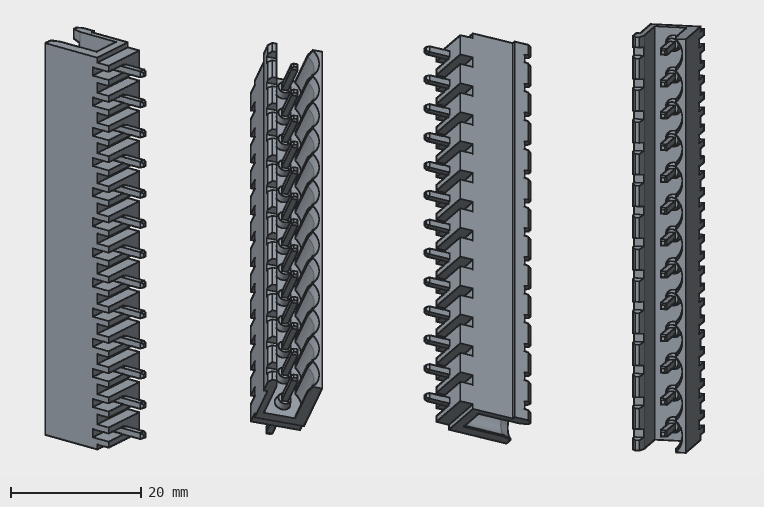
import cadquery as cq
import math

PIN_COUNT = 13
PITCH = 5.0
LENGTH = PIN_COUNT * PITCH

HOUSING_WIDTH = 7.9
LATCH_WIDTH = 8.5
BODY_DEPTH = 10.0
CAVITY_DEPTH = 8.45
LOWER_WALL = 1.9
LATCH_WALL_INNER = 6.9

LATCH_LENGTH = 3.05
LATCH_LEAD = 0.73
LATCH_LEAD_DROP = 0.5
MOUTH_LEAD = 1.5
MOUTH_LEAD_DROP = 0.4
NOTCH_DEPTH = 1.3
NOTCH_WIDTH = 1.75
NOTCH_DRAFT = 10.0

PIN_Y = 3.9
PIN_SIZE = 1.0
PIN_START = 1.35
PIN_END = 16.2
PIN_TAPER = 0.5
PIN_TIP_SIZE = 0.6
PIN_HEIGHTS = [PITCH * (index + 0.5) for index in range(PIN_COUNT)]

SCALLOP_RADIUS = 3.0

FOOT_HEIGHT = 2.2
FOOT_WIDTH = 3.35
BACK_X = BODY_DEPTH + FOOT_HEIGHT

SLOT_WIDTH = 1.35
SLOT_START = 9.15
SLOT_STEP_X = 9.8
SLOT_SHALLOW_DEPTH = 3.2
SLOT_FULL_DEPTH = PIN_Y

COLLAR_START = 7.25
COLLAR_FRONT_DIAMETER = 2.0
COLLAR_BACK_DIAMETER = 2.5


def box(x_range, y_range, z_center, z_size):
    """Box between two X and two Y limits, centred on a height."""
    size_x = x_range[1] - x_range[0]
    size_y = y_range[1] - y_range[0]
    corner = (x_range[0], y_range[0], z_center - z_size / 2)
    return cq.Workplane("XY").box(size_x, size_y, z_size, centered=False).translate(corner)


def housing_profile():
    """U-shaped section with the latch bead, extruded along the whole row."""
    points = [
        (0, 0),
        (BODY_DEPTH, 0),
        (BODY_DEPTH, HOUSING_WIDTH),
        (LATCH_LENGTH, HOUSING_WIDTH),
        (LATCH_LENGTH, LATCH_WIDTH),
        (LATCH_LEAD, LATCH_WIDTH),
        (0, LATCH_WIDTH - LATCH_LEAD_DROP),
        (0, LATCH_WALL_INNER + MOUTH_LEAD_DROP),
        (MOUTH_LEAD, LATCH_WALL_INNER),
        (CAVITY_DEPTH, LATCH_WALL_INNER),
        (CAVITY_DEPTH, LOWER_WALL),
        (MOUTH_LEAD, LOWER_WALL),
        (0, LOWER_WALL - MOUTH_LEAD_DROP),
    ]
    return cq.Workplane("XY").polyline(points).close().extrude(LENGTH)


def scallop(z):
    """Round channel on the pin axis, one pitch high, with a conical lead-in at the mouth."""
    mouth_radius = SCALLOP_RADIUS + MOUTH_LEAD_DROP
    points = [
        (0, PIN_Y),
        (0, PIN_Y - mouth_radius),
        (MOUTH_LEAD, PIN_Y - SCALLOP_RADIUS),
        (CAVITY_DEPTH, PIN_Y - SCALLOP_RADIUS),
        (CAVITY_DEPTH, PIN_Y),
    ]
    channel = cq.Workplane("XY").polyline(points).close()
    channel = channel.revolve(360, (0, PIN_Y, 0), (1, PIN_Y, 0)).translate((0, 0, z))
    return channel.intersect(box((0, CAVITY_DEPTH), (0, PIN_Y), z, PITCH))


def latch_notch(z):
    """Gap in the latch edge in line with a pin."""
    mouth_half = NOTCH_WIDTH / 2
    floor_half = mouth_half - NOTCH_DEPTH * math.tan(math.radians(NOTCH_DRAFT))
    points = [
        (0, -mouth_half),
        (NOTCH_DEPTH, -floor_half),
        (NOTCH_DEPTH, floor_half),
        (0, mouth_half),
    ]
    notch = cq.Workplane("XZ").polyline(points).close().extrude(LATCH_WIDTH - LATCH_WALL_INNER)
    return notch.translate((0, LATCH_WIDTH, z))


def foot(z):
    """Block standing on the back face around a pin."""
    return box((BODY_DEPTH, BACK_X), (0, HOUSING_WIDTH), z, FOOT_WIDTH)


def pin_slot(z):
    """Stepped slot that reaches the pin from the -Y side."""
    shallow = box((SLOT_START, BACK_X), (0, SLOT_SHALLOW_DEPTH), z, SLOT_WIDTH)
    deep = box((SLOT_STEP_X, BACK_X), (0, SLOT_FULL_DEPTH), z, SLOT_WIDTH)
    return shallow.union(deep)


def pin_tip(x_base, x_end):
    """Square taper from the full pin section to its end."""
    base = cq.Workplane("YZ", origin=(x_base, 0, 0)).rect(PIN_SIZE, PIN_SIZE)
    return base.workplane(offset=x_end - x_base).rect(PIN_TIP_SIZE, PIN_TIP_SIZE).loft()


def contact(z):
    """Square pin with both ends tapered."""
    shank_start = PIN_START + PIN_TAPER
    shank_end = PIN_END - PIN_TAPER
    shank = cq.Workplane("YZ", origin=(shank_start, 0, 0)).rect(PIN_SIZE, PIN_SIZE)
    pin = shank.extrude(shank_end - shank_start)
    pin = pin.union(pin_tip(shank_start, PIN_START)).union(pin_tip(shank_end, PIN_END))
    return pin.translate((0, PIN_Y, z))


def collar(z):
    """Conical collar, wider at the cavity floor."""
    points = [
        (COLLAR_START, PIN_Y),
        (COLLAR_START, PIN_Y + COLLAR_FRONT_DIAMETER / 2),
        (CAVITY_DEPTH, PIN_Y + COLLAR_BACK_DIAMETER / 2),
        (CAVITY_DEPTH, PIN_Y),
    ]
    cone = cq.Workplane("XY").polyline(points).close()
    return cone.revolve(360, (0, PIN_Y, 0), (1, PIN_Y, 0)).translate((0, 0, z))


def row(feature):
    """All copies of a feature, one per pin, as a single compound."""
    shapes = [feature(z).val() for z in PIN_HEIGHTS]
    return cq.Workplane(cq.Compound.makeCompound(shapes))


result = housing_profile().union(row(foot))
result = result.cut(row(latch_notch))
result = result.cut(row(scallop))
result = result.cut(row(pin_slot))
result = result.union(row(collar)).union(row(contact))